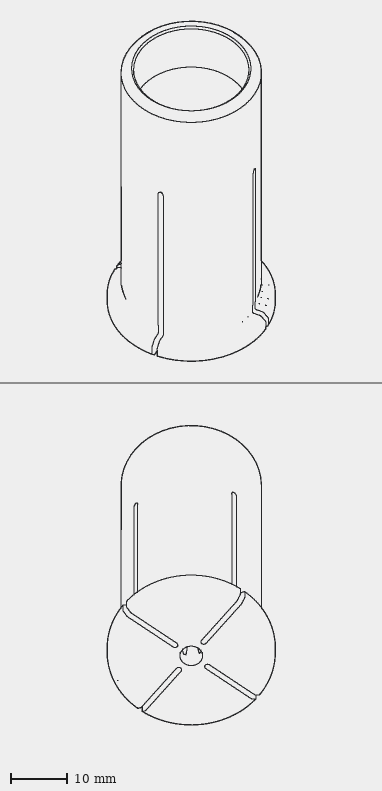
import cadquery as cq
import math

LENGTH = 60.0
FLANGE_RADIUS = 15.0
BODY_RADIUS = 25.0 / 2

FLANGE_HEIGHT = 4.0
FLANGE_CHAMFER = 1.0
FLANGE_EDGE_ROUND = 0.5

GROOVE_TOP = 6.3
GROOVE_TAPER_HEIGHT = 0.6
GROOVE_DEPTH = 0.2
GROOVE_ROUND = 0.35

TOP_CHAMFER_HEIGHT = 1.0
TOP_CHAMFER_WIDTH = 0.6
TOP_EDGE_ROUND = 0.5
BORE_CHAMFER = 0.35

BORE_RADIUS = 20.5 / 2
BORE_DEPTH = 10.0
FUNNEL_STEP_RADIUS = 10.0 / 2
HOLE_RADIUS = 4.0 / 2
OUTER_FUNNEL_SLOPE = 45
INNER_FUNNEL_SLOPE = 60

SLOT_COUNT = 4
SLOT_WIDTH = 1.0
CUTTER_RADIUS = 35.0
CUTTER_OFFSET = 35.4
CUTTER_HEIGHT = 13.55


def flange():
    """Collar at the foot, chamfered on both rims with every chamfer edge blended."""
    collar = cq.Workplane("XY").circle(FLANGE_RADIUS).extrude(FLANGE_HEIGHT)
    collar = collar.faces("<Z or >Z").chamfer(FLANGE_CHAMFER)
    return collar.edges("%CIRCLE").fillet(FLANGE_EDGE_ROUND)


def sleeve():
    """Tube outside with a shallow undercut at its foot and a chamfered upper rim."""
    neck_radius = BODY_RADIUS - GROOVE_DEPTH
    foot_round_top = FLANGE_HEIGHT + GROOVE_ROUND
    outline = (
        cq.Workplane("XZ")
        .lineTo(neck_radius + GROOVE_ROUND, 0)
        .lineTo(neck_radius + GROOVE_ROUND, FLANGE_HEIGHT)
        .radiusArc((neck_radius, foot_round_top), GROOVE_ROUND)
        .lineTo(neck_radius, GROOVE_TOP - GROOVE_TAPER_HEIGHT)
        .lineTo(BODY_RADIUS, GROOVE_TOP)
        .lineTo(BODY_RADIUS, LENGTH - TOP_CHAMFER_HEIGHT)
        .lineTo(BODY_RADIUS - TOP_CHAMFER_WIDTH, LENGTH)
        .lineTo(0, LENGTH)
        .close()
    )
    body = outline.revolve(360, (0, 0), (0, 1))
    return body.faces(">Z").edges().fillet(TOP_EDGE_ROUND)


def funnel_height(upper_radius, lower_radius, slope):
    """Height of a cone whose wall rises at the given angle from horizontal."""
    return (upper_radius - lower_radius) * math.tan(math.radians(slope))


def inside():
    """Chamfered bore, steep funnel in two steps, and the hole out through the foot."""
    funnel_top = LENGTH - BORE_DEPTH
    step_height = funnel_top - funnel_height(BORE_RADIUS, FUNNEL_STEP_RADIUS, OUTER_FUNNEL_SLOPE)
    hole_top = step_height - funnel_height(FUNNEL_STEP_RADIUS, HOLE_RADIUS, INNER_FUNNEL_SLOPE)
    return (
        cq.Workplane("XZ")
        .lineTo(HOLE_RADIUS, 0)
        .lineTo(HOLE_RADIUS, hole_top)
        .lineTo(FUNNEL_STEP_RADIUS, step_height)
        .lineTo(BORE_RADIUS, funnel_top)
        .lineTo(BORE_RADIUS, LENGTH - BORE_CHAMFER)
        .lineTo(BORE_RADIUS + BORE_CHAMFER, LENGTH)
        .lineTo(0, LENGTH)
        .close()
        .revolve(360, (0, 0), (0, 1))
    )


def slot_cutter():
    """Disc with a fully rounded rim, standing upright beside the part."""
    half_width = SLOT_WIDTH / 2
    side_height = CUTTER_RADIUS - half_width
    disc_section = (
        cq.Workplane("XY")
        .moveTo(-half_width, 0)
        .lineTo(-half_width, side_height)
        .threePointArc((0, CUTTER_RADIUS), (half_width, side_height))
        .lineTo(half_width, 0)
        .close()
    )
    return disc_section.revolve(360, (0, 0), (1, 0)).translate((0, -CUTTER_OFFSET, CUTTER_HEIGHT))


result = flange().union(sleeve()).cut(inside())
for i in range(SLOT_COUNT):
    result = result.cut(slot_cutter().rotate((0, 0, 0), (0, 0, 1), i * 360 / SLOT_COUNT))